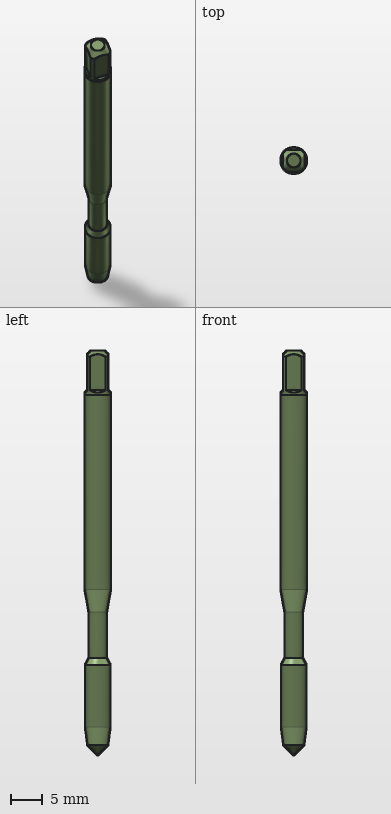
import cadquery as cq

total_length = 64.35
point_height = 1.7
lead_top = 4.6
thread_top = 14.4
shoulder_top = 15.5
neck_top = 22.8
shank_bottom = 26.4
shank_top = 57.3
flat_bottom = 58.05

lead_diameter = 3.35
thread_diameter = 4.1
neck_diameter = 2.95
shank_diameter = 4.25
square_round_diameter = 4.2
square_width = 3.4
end_face_diameter = 2.2


def revolve_profile(points):
    """Revolve a closed (radius, height) outline about the Z axis."""
    return cq.Workplane("XZ").polyline(points).close().revolve(360, (0, 0), (0, 1))


def make_threaded_head():
    """Conical point, tapered lead, thread cylinder and the shoulder where the neck begins."""
    return revolve_profile([
        (0, 0),
        (lead_diameter / 2, point_height),
        (thread_diameter / 2, lead_top),
        (thread_diameter / 2, thread_top),
        (neck_diameter / 2, shoulder_top),
        (0, shoulder_top),
    ])


def make_square_envelope():
    """Square bar whose lower end spreads outward at 45 degrees to run out of the round."""
    runout = (shank_diameter - square_width) / 2
    bar = (
        cq.Workplane("XY")
        .workplane(offset=flat_bottom)
        .rect(square_width, square_width)
        .extrude(total_length - flat_bottom)
    )
    spread = (
        cq.Workplane("XY")
        .workplane(offset=flat_bottom - runout)
        .rect(shank_diameter, shank_diameter)
        .workplane(offset=runout)
        .rect(square_width, square_width)
        .loft(ruled=True)
    )
    base_height = flat_bottom - runout
    base = cq.Workplane("XY").rect(shank_diameter, shank_diameter).extrude(base_height)
    return base.union(spread).union(bar)


def make_shank():
    """Neck, taper and shank, ending in a chamfered driving square."""
    end_chamfer = (square_round_diameter - end_face_diameter) / 2
    turned = revolve_profile([
        (0, shoulder_top),
        (neck_diameter / 2, shoulder_top),
        (neck_diameter / 2, neck_top),
        (shank_diameter / 2, shank_bottom),
        (shank_diameter / 2, shank_top),
        (square_round_diameter / 2, shank_top),
        (square_round_diameter / 2, total_length - end_chamfer),
        (end_face_diameter / 2, total_length),
        (0, total_length),
    ])
    return turned.intersect(make_square_envelope())


threaded_head = make_threaded_head()
shank = make_shank()

result = cq.Compound.makeCompound([threaded_head.val(), shank.val()])